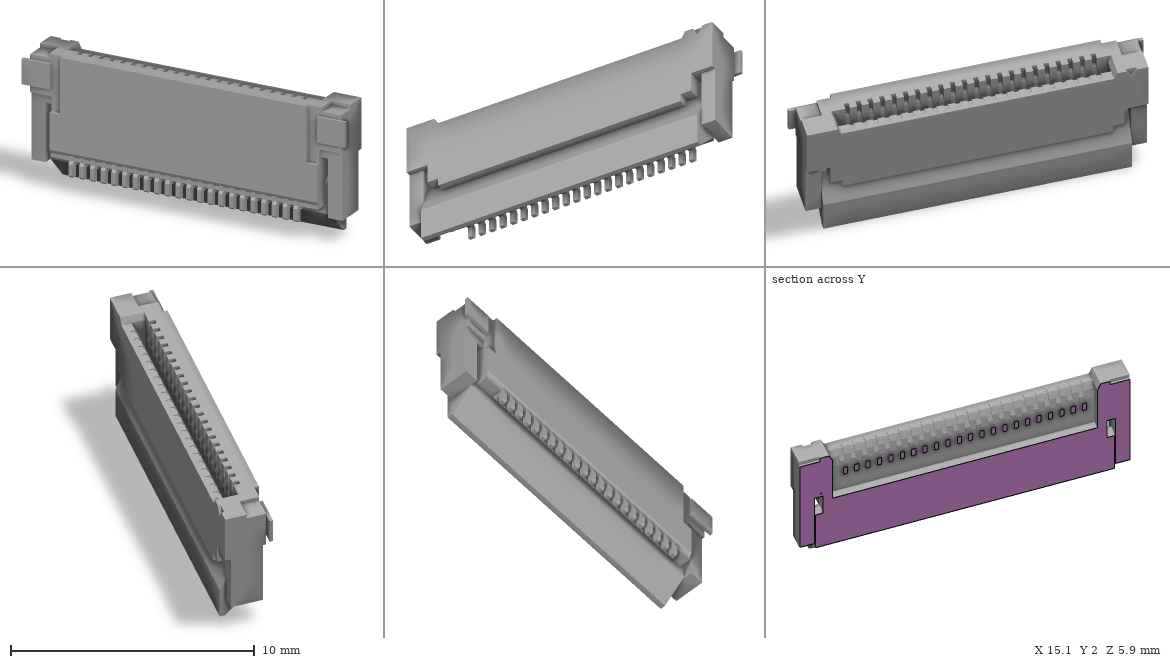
import cadquery as cq
import math


body_width = 14.52
body_back = 1.98
foot_overhang = 0.02
total_height = 5.9
tab_span = 15.1

core_width = 12.5
floor_bottom = -4.5
floor_back = 1.2
floor_chamfer_top = -4.15
floor_chamfer_bottom = -4.32
floor_chamfer_angle = 30
floor_lip = (floor_chamfer_top - floor_chamfer_bottom) * math.tan(math.radians(floor_chamfer_angle))
back_wall_bottom = -3.15
back_rib_width = 11.5
back_rib_bottom = -3.5

arm_inner_x = 6.6
arm_front = 0.33
arm_back = 1.74
arm_bottom = -4.88
shoulder_overlap = 0.1
shoulder_front = 0.2
shoulder_front_bottom = -1.87
shoulder_back_bottom = -2.26
shoulder_recess_inner_x = 5.75
shoulder_recess_bottom = -2.51
corner_notch_width = 0.88
corner_notch_back = 1.05
corner_notch_height = 0.19

tab_inner_x = core_width / 2
tab_thickness = 0.15
tab_top = -0.37
tab_bottom = -1.5
stem_inset = 0.3
stem_embed = 0.1

opening_width = 11.62
opening_front = 0.95
opening_back = 1.325
opening_depth = 2.5
lead_in_depth = 0.3
lead_in_side = 0.15
bevel_top_y = 1.55
bevel_bottom_y = 1.4
bevel_bottom_z = -0.6
wall_draft_bottom_z = -1.05

contact_count = 22
contact_pitch = 0.5
contact_width = 0.2
front_slot_y = 0.67
back_slot_y = 1.81
contact_slot_bottom = -1.3
upper_tip_y = 1.31
upper_tip_z = -0.87
upper_flat_front = 1.57
upper_flat_back = 1.7
upper_flat_z = -0.35
upper_back_z = -0.31
lower_flat_back = 0.85
lower_flat_z = -0.6
lower_tip_y = 1.03
lower_tip_z = -1.0

foot_root_front = 0.07
foot_root_back = 0.5
foot_root_top = -4.2
foot_root_bottom = -4.72
foot_front_top = -4.61
foot_back = 0.25
foot_bottom = -5.2
foot_chamfer = 0.08

lever_width = 13.13
lever_front = 0.7
lever_top = -3.07
lever_shoulder = -3.5
lever_tip_back = 1.37
lever_back_corner = -4.45
lever_edge_front = arm_back

mark_side = 0.46
mark_centre_x = -6.56
mark_depth = 0.12


def box(x_range, y_range, z_range):
    """Box given by its limits along each axis."""
    (x0, x1), (y0, y1), (z0, z1) = x_range, y_range, z_range
    return cq.Workplane("XY").box(x1 - x0, y1 - y0, z1 - z0, centered=False).translate((x0, y0, z0))


def profile(points, width, centre_x=0):
    """Prism along X from a list of (Y, Z) points, centred on centre_x."""
    start_x = centre_x - width / 2
    return cq.Workplane("YZ").polyline(points).close().extrude(width).translate((start_x, 0, 0))


def both_ends(shape):
    """A shape joined with its mirror image across X = 0."""
    return shape.union(shape.mirror("YZ"))


def make_core():
    section = [
        (0, 0),
        (body_back, 0),
        (body_back, back_wall_bottom),
        (floor_back, back_wall_bottom),
        (floor_back, floor_bottom),
        (floor_lip, floor_bottom),
        (floor_lip, floor_chamfer_bottom),
        (0, floor_chamfer_top),
    ]
    core = profile(section, core_width)
    rib_x = back_rib_width / 2
    return core.union(box((-rib_x, rib_x), (floor_back, body_back), (back_rib_bottom, 0)))


def make_end():
    """Shoulder and arm at the +X end."""
    outer_x = body_width / 2
    inner_x = core_width / 2 - shoulder_overlap
    shoulder = box((inner_x, outer_x), (shoulder_front, body_back), (shoulder_back_bottom, 0))
    shoulder = shoulder.cut(
        box((tab_inner_x, outer_x), (0, arm_front), (shoulder_back_bottom, shoulder_front_bottom))
    )
    arm = box((arm_inner_x, outer_x), (arm_front, arm_back), (arm_bottom, 0))
    notch = box(
        (outer_x - corner_notch_width, outer_x), (0, corner_notch_back), (-corner_notch_height, 0)
    )
    return shoulder.union(arm).cut(notch)


def make_shoulder_recess():
    return box(
        (shoulder_recess_inner_x, body_width / 2), (0, shoulder_front), (shoulder_recess_bottom, 0)
    )


def make_tab():
    """Solder tab at the +X end, standing off the shoulder on a short stem."""
    plate = box((tab_inner_x, tab_span / 2), (0, tab_thickness), (tab_bottom, tab_top))
    stem = box(
        (tab_inner_x + stem_inset, body_width / 2 - stem_inset),
        (0, shoulder_front + stem_embed),
        (tab_bottom + stem_inset, tab_top - stem_inset),
    )
    return plate.union(stem)


def make_opening():
    """Cable slot with its widened mouth and the bevelled edge of the back wall."""
    half_slot = opening_width / 2
    half_mouth = half_slot + lead_in_side
    mouth_outline = [
        (-half_mouth, 0),
        (half_mouth, 0),
        (half_slot, -lead_in_depth),
        (-half_slot, -lead_in_depth),
    ]
    mouth = (
        cq.Workplane("XZ")
        .polyline(mouth_outline)
        .close()
        .extrude(opening_front - body_back)
        .translate((0, opening_front, 0))
    )
    slot = profile(
        [
            (opening_front, 0),
            (bevel_top_y, 0),
            (bevel_top_y, -lead_in_depth),
            (bevel_bottom_y, bevel_bottom_z),
            (opening_back, wall_draft_bottom_z),
            (opening_back, -opening_depth),
            (opening_front, -opening_depth),
        ],
        opening_width,
    )
    return mouth.union(slot)


def make_contact_slots(centre_x):
    x_range = (centre_x - contact_width / 2, centre_x + contact_width / 2)
    return box(x_range, (front_slot_y, back_slot_y), (contact_slot_bottom, 0))


def make_contact(centre_x):
    """Upper and lower contact beams inside the slots and the solder foot under the floor."""
    upper = [
        (upper_tip_y, upper_tip_z),
        (upper_flat_front, upper_flat_z),
        (upper_flat_back, upper_flat_z),
        (back_slot_y, upper_back_z),
        (back_slot_y, contact_slot_bottom),
        (upper_tip_y, contact_slot_bottom),
    ]
    lower = [
        (front_slot_y, lower_flat_z),
        (lower_flat_back, lower_flat_z),
        (lower_tip_y, lower_tip_z),
        (lower_tip_y, contact_slot_bottom),
        (front_slot_y, contact_slot_bottom),
    ]
    foot = [
        (foot_root_front, foot_root_top),
        (foot_root_front, floor_bottom),
        (-foot_overhang, foot_front_top),
        (-foot_overhang, foot_bottom + foot_chamfer),
        (foot_chamfer - foot_overhang, foot_bottom),
        (foot_back, foot_bottom),
        (foot_back, foot_root_bottom),
        (foot_root_back, foot_root_bottom),
        (foot_root_back, foot_root_top),
    ]
    return [profile(points, contact_width, centre_x).val() for points in (upper, lower, foot)]


def make_lever():
    edge_z = -total_height
    slope_top_z = edge_z + lever_edge_front - lever_front
    shoulder_run = lever_top - lever_shoulder
    return profile(
        [
            (lever_front + shoulder_run, lever_top),
            (lever_tip_back, lever_top),
            (body_back, lever_back_corner),
            (body_back, edge_z),
            (lever_edge_front, edge_z),
            (lever_front, slope_top_z),
            (lever_front, lever_shoulder),
        ],
        lever_width,
    )


def make_mark():
    half = mark_side / 2
    return (
        cq.Workplane("XZ")
        .polyline([(-half, 0), (half, 0), (0, -half * math.sqrt(3))])
        .close()
        .extrude(mark_depth)
        .translate((mark_centre_x, body_back, 0))
    )


result = make_core().union(both_ends(make_end())).cut(both_ends(make_shoulder_recess()))
result = result.cut(make_opening()).cut(make_mark())
first_x = -contact_pitch * (contact_count - 1) / 2
centres = [first_x + i * contact_pitch for i in range(contact_count)]
contact_slots = [make_contact_slots(centre_x).val() for centre_x in centres]
contacts = [part for centre_x in centres for part in make_contact(centre_x)]
result = result.cut(cq.Workplane(cq.Compound.makeCompound(contact_slots)))
result = result.union(make_lever()).union(both_ends(make_tab()))
result = result.union(cq.Workplane(cq.Compound.makeCompound(contacts)))